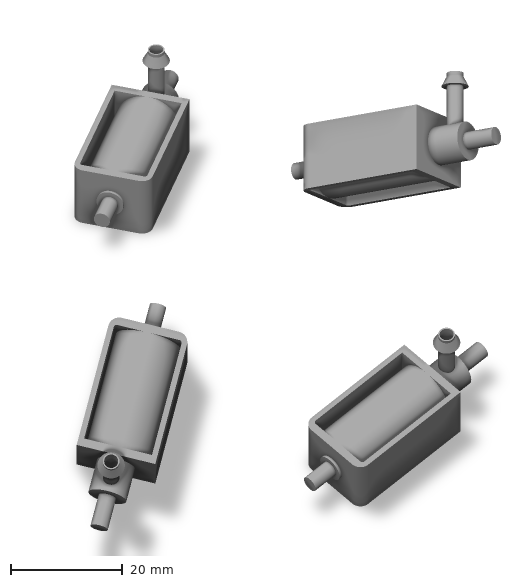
import cadquery as cq

FRAME_WIDTH = 14.5
FRAME_LENGTH = 25.0
FRAME_HEIGHT = 12.0
SIDE_WALL = 1.0
END_WALL = 1.5
OUTER_CORNER_RADIUS = 2.0
INNER_CORNER_RADIUS = OUTER_CORNER_RADIUS - END_WALL

AXIS_HEIGHT = FRAME_HEIGHT / 2
COIL_DIAMETER = FRAME_HEIGHT
COLLAR_DIAMETER = 5.0
COLLAR_LENGTH = 0.5
FRONT_PIN_DIAMETER = 3.0
FRONT_PIN_LENGTH = 5.0
CHAMBER_DIAMETER = 7.0
CHAMBER_LENGTH = 6.25
REAR_PIN_DIAMETER = 3.2
REAR_PIN_LENGTH = 6.0

NOZZLE_TOP = 19.0
NOZZLE_DIAMETER = 3.0
NOZZLE_BORE = 2.5
NOZZLE_SETBACK = 3.5
BARB_DIAMETER = 4.9
BARB_HEIGHT = 1.85
NOZZLE_LIP = 0.65

FRAME_FRONT = -FRAME_LENGTH / 2
FRAME_REAR = FRAME_LENGTH / 2
COIL_FRONT = FRAME_FRONT + END_WALL
COIL_REAR = FRAME_REAR - END_WALL
COLLAR_FRONT = FRAME_FRONT - COLLAR_LENGTH
FRONT_PIN_TIP = COLLAR_FRONT - FRONT_PIN_LENGTH
CHAMBER_REAR = FRAME_REAR + CHAMBER_LENGTH
REAR_PIN_TIP = CHAMBER_REAR + REAR_PIN_LENGTH
NOZZLE_Y = FRAME_REAR + NOZZLE_SETBACK


def axial_cylinder(diameter, y_start, y_end):
    """Cylinder on the coil axis from y_start to y_end."""
    start_plane = cq.Plane(origin=(0, y_start, AXIS_HEIGHT), xDir=(0, 0, 1), normal=(0, 1, 0))
    return cq.Workplane(start_plane).circle(diameter / 2).extrude(y_end - y_start)


def upright_block(width, length, front_corner_radius):
    """Block of the frame's height with its two front corners rounded."""
    block = cq.Workplane("XY").rect(width, length).extrude(FRAME_HEIGHT)
    return block.edges("|Z and <Y").fillet(front_corner_radius)


def make_frame():
    """Yoke with a window through it from top to bottom."""
    outside = upright_block(FRAME_WIDTH, FRAME_LENGTH, OUTER_CORNER_RADIUS)
    window = upright_block(
        FRAME_WIDTH - 2 * SIDE_WALL,
        FRAME_LENGTH - 2 * END_WALL,
        INNER_CORNER_RADIUS,
    )
    return outside.cut(window)


def make_chamber():
    """Valve chamber on the rear face of the frame."""
    return axial_cylinder(CHAMBER_DIAMETER, FRAME_REAR, CHAMBER_REAR)


def make_valve_body():
    """Frame, coil, front collar and pin, rear chamber and pin, all in one piece."""
    coil = axial_cylinder(COIL_DIAMETER, COIL_FRONT, COIL_REAR)
    collar = axial_cylinder(COLLAR_DIAMETER, COLLAR_FRONT, FRAME_FRONT)
    front_pin = axial_cylinder(FRONT_PIN_DIAMETER, FRONT_PIN_TIP, COLLAR_FRONT)
    rear_pin = axial_cylinder(REAR_PIN_DIAMETER, CHAMBER_REAR, REAR_PIN_TIP)
    body = make_frame()
    for piece in (coil, collar, front_pin, make_chamber(), rear_pin):
        body = body.union(piece)
    return body


def make_nozzle():
    """Barbed tube whose lower end is saddled to fit the crown of the chamber."""
    bore_radius = NOZZLE_BORE / 2
    tube_radius = NOZZLE_DIAMETER / 2
    barb_top = NOZZLE_TOP - NOZZLE_LIP
    barb_base = barb_top - BARB_HEIGHT
    wall_profile = [
        (bore_radius, AXIS_HEIGHT),
        (tube_radius, AXIS_HEIGHT),
        (tube_radius, barb_base),
        (BARB_DIAMETER / 2, barb_base),
        (tube_radius, barb_top),
        (tube_radius, NOZZLE_TOP),
        (bore_radius, NOZZLE_TOP),
    ]
    tube = (
        cq.Workplane("XZ", origin=(0, NOZZLE_Y, 0))
        .polyline(wall_profile)
        .close()
        .revolve(360, (0, 0), (0, 1))
    )
    return tube.cut(make_chamber())


valve_body = make_valve_body()
nozzle = make_nozzle()

result = cq.Compound.makeCompound([valve_body.solids().val(), nozzle.solids().val()])